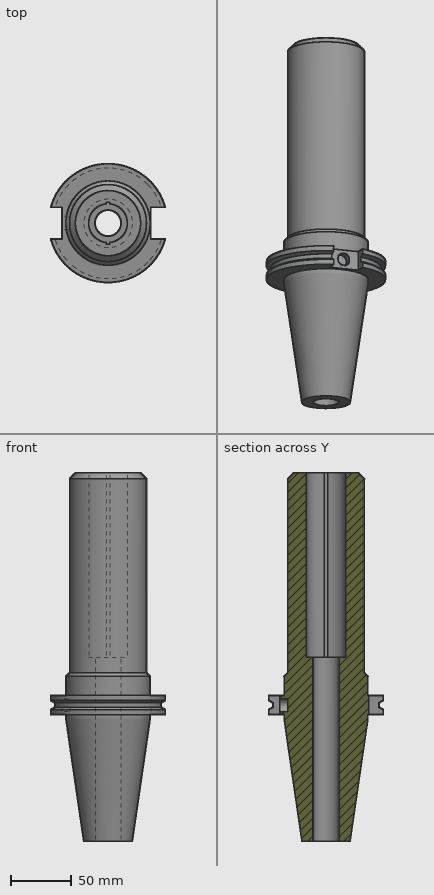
import cadquery as cq
import math

total_height = 304.8

gauge_height = 101.5
gauge_diameter = 69.8
gauge_radius = gauge_diameter / 2
taper_ratio = 7 / 24
small_end_radius = gauge_radius - gauge_height * taper_ratio / 2

flange_diameter = 98.5
flange_radius = flange_diameter / 2
flange_bottom = 105.0
flange_top = 120.7
groove_center = (flange_bottom + flange_top) / 2
groove_floor_width = 3.7
groove_depth = 3.5
groove_wall_angle = 30
groove_floor_radius = flange_radius - groove_depth
groove_half_floor = groove_floor_width / 2
groove_half_mouth = groove_half_floor + groove_depth * math.tan(math.radians(groove_wall_angle))

collar_radius = gauge_radius
collar_top = 136.5
nose_diameter = 63.7
nose_radius = nose_diameter / 2
nose_chamfer = 5.0
shoulder_chamfer = collar_radius - nose_radius

drive_slot_width = 26.0
left_floor_distance = 38.0
right_floor_distance = 35.5

dimple_diameter = 10.5
dimple_depth = 6.5

through_diameter = 21.3
bore_diameter = 32.0
bore_depth = 152.5
keyway_width = 3.0
keyway_span = 34.7


def make_body():
    """Revolve the outer profile about Z."""
    profile = [
        (0, 0),
        (small_end_radius, 0),
        (gauge_radius, gauge_height),
        (gauge_radius, flange_bottom),
        (flange_radius, flange_bottom),
        (flange_radius, groove_center - groove_half_mouth),
        (groove_floor_radius, groove_center - groove_half_floor),
        (groove_floor_radius, groove_center + groove_half_floor),
        (flange_radius, groove_center + groove_half_mouth),
        (flange_radius, flange_top),
        (collar_radius, flange_top),
        (collar_radius, collar_top),
        (nose_radius, collar_top + shoulder_chamfer),
        (nose_radius, total_height - nose_chamfer),
        (nose_radius - nose_chamfer, total_height),
        (0, total_height),
    ]
    return cq.Workplane("XZ").polyline(profile).close().revolve(360, (0, 0), (0, 1))


def make_drive_slot(side, floor_distance):
    """Box that opens the flange on one X side, from the slot floor outward."""
    return (
        cq.Workplane("XY", origin=(side * (floor_distance + flange_radius / 2), 0, flange_bottom))
        .rect(flange_radius, drive_slot_width)
        .extrude(flange_top - flange_bottom)
    )


def make_dimple():
    """Cylinder going inward along +X from the left slot floor."""
    return (
        cq.Workplane("YZ", origin=(-left_floor_distance, 0, groove_center))
        .circle(dimple_diameter / 2)
        .extrude(dimple_depth)
    )


def make_bore():
    """Through hole, wider upper bore and the keyways along that bore."""
    through_hole = cq.Workplane("XY").circle(through_diameter / 2).extrude(total_height)
    bore_plane = cq.Workplane("XY", origin=(0, 0, total_height - bore_depth))
    wide_bore = bore_plane.circle(bore_diameter / 2).extrude(bore_depth)
    keyways = bore_plane.rect(keyway_width, keyway_span).extrude(bore_depth)
    return through_hole.union(wide_bore).union(keyways)


result = make_body().cut(make_bore()).cut(make_dimple())
for side, floor_distance in ((-1, left_floor_distance), (1, right_floor_distance)):
    result = result.cut(make_drive_slot(side, floor_distance))